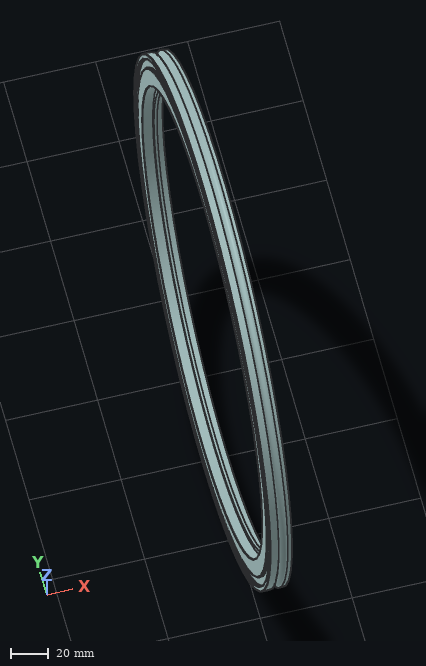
import cadquery as cq

thickness = 12.0
outer_radius = 290 / 2
bore_radius = 255.0 / 2
lip_radius = 250.0 / 2

mouth_depth = 5.8
lip_width = 1.7
rear_bore_radius = 261 / 2

recess_outer_radius = 285.0 / 2
recess_inner_radius = 275.0 / 2
recess_depth = 1.5

recess_bevel = 0.5
mouth_bevel = 0.3
rim_bevel = 0.3

rim_groove_start = 4.5
rim_groove_width = 5.0
rim_groove_depth = 2.3

left_face = -thickness / 2
right_face = thickness / 2
recess_floor = left_face + recess_depth
lip_face = left_face + mouth_depth
lip_back = lip_face + lip_width
groove_left = left_face + rim_groove_start
groove_right = groove_left + rim_groove_width
groove_middle = (groove_left + groove_right) / 2

section = (
    cq.Workplane("XY")
    .moveTo(left_face + mouth_bevel, bore_radius)
    .lineTo(left_face, bore_radius + mouth_bevel)
    .lineTo(left_face, recess_inner_radius - recess_bevel)
    .lineTo(left_face + recess_bevel, recess_inner_radius)
    .lineTo(recess_floor, recess_inner_radius)
    .lineTo(recess_floor, recess_outer_radius - recess_bevel)
    .lineTo(left_face + recess_bevel, recess_outer_radius - recess_bevel)
    .lineTo(left_face, recess_outer_radius)
    .lineTo(left_face, outer_radius - rim_bevel)
    .lineTo(left_face + rim_bevel, outer_radius)
    .lineTo(groove_left, outer_radius)
    .threePointArc((groove_middle, outer_radius - rim_groove_depth), (groove_right, outer_radius))
    .lineTo(right_face, outer_radius)
    .lineTo(right_face, rear_bore_radius)
    .lineTo(lip_back, rear_bore_radius)
    .lineTo(lip_back, lip_radius)
    .lineTo(lip_face, lip_radius)
    .lineTo(lip_face, bore_radius)
    .close()
)

result = section.revolve(360, (0, 0, 0), (1, 0, 0))